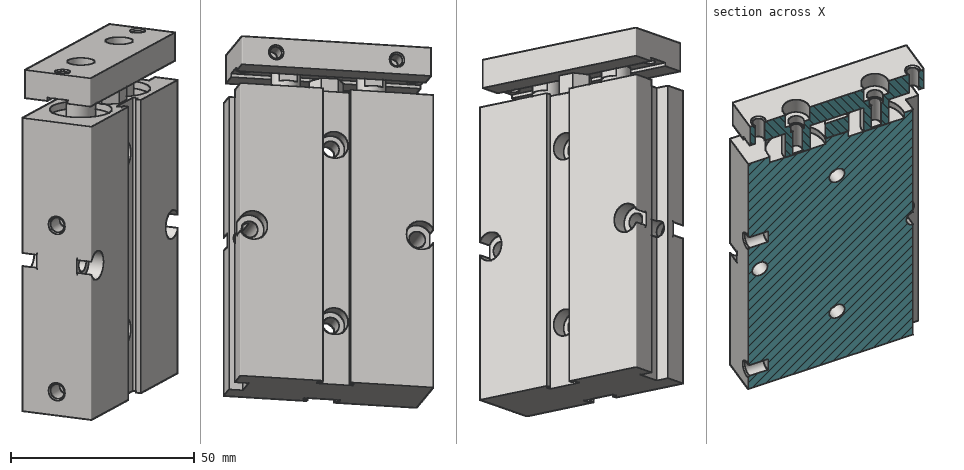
import cadquery as cq

TOTAL_HEIGHT = 96.5
HOUSING_HEIGHT = 83.0
PLATE_THICKNESS = 8.0
PLATE_BOTTOM = TOTAL_HEIGHT - PLATE_THICKNESS

HOUSING_WIDTH = 21.0
HOUSING_DEPTH = 54.0
EDGE_RADIUS = 0.2

SLOT_MOUTH_WIDTH = 7.8
SLOT_NECK_WIDTH = 7.4
SLOT_NECK_DEPTH = 1.4
SLOT_INNER_WIDTH = 10.0
SLOT_DEPTH = 3.0

GROOVE_WIDTH = 7.2
GROOVE_DEPTH = 3.9

MOUNT_HOLE_DIAMETER = 4.5
MOUNT_CENTER_Z = 42.9
SIDE_MOUNT_Y = 23.45
SIDE_COUNTERBORE_DIAMETER = 8.0
SLOT_MOUNT_RISE = 25.0
SLOT_COUNTERBORE_DIAMETER = 7.5
COUNTERBORE_DEPTH = 4.4

PORT_DIAMETER = 4.15
PORT_MOUTH_DIAMETER = 5.0
PORT_DEPTH = 6.0
PORT_HEIGHTS = (6.8, 53.8)

ROD_DIAMETER = 8.0
ROD_Y = 12.0
ROD_RECESS_DIAMETER = 17.0
ROD_RECESS_DEPTH = 2.0
ROD_FLAT_WIDTH = 6.3
ROD_FLAT_DROP = 2.0
ROD_THREAD_DEPTH = 8.0

PLATE_WIDTH = 20.0
PLATE_DEPTH = 53.0
CHANNEL_HEIGHT = 1.0
SCREW_HEAD_DIAMETER = 7.5
SCREW_HEAD_DEPTH = 4.5
SCREW_CLEARANCE_DIAMETER = 4.3
THREAD_DIAMETER = 3.3
THREAD_MOUTH_DIAMETER = 4.15
TOP_THREAD_Y = 23.45
SIDE_THREAD_Y = 16.9
SIDE_THREAD_DEPTH = 6.0

STOP_ACROSS_CORNERS = 9.6
STOP_X = 2.8

SIDES = (-1, 1)


def drill(start, direction, diameter, depth):
    """Cylinder from a start point along a direction."""
    return cq.Workplane(cq.Solid.makeCylinder(diameter / 2, depth, cq.Vector(*start), cq.Vector(*direction)))


def threaded_hole(start, direction, diameter, mouth_diameter, depth):
    """Drilled hole with a 45 degree countersunk mouth."""
    mouth_depth = (mouth_diameter - diameter) / 2
    mouth = cq.Solid.makeCone(
        mouth_diameter / 2, diameter / 2, mouth_depth, cq.Vector(*start), cq.Vector(*direction)
    )
    return drill(start, direction, diameter, depth).union(cq.Workplane(mouth))


def rounded_block(width, depth, bottom, height):
    """Block centred on the Z axis with rounded vertical edges."""
    block = cq.Workplane("XY").workplane(offset=bottom).rect(width, depth).extrude(height)
    return block.edges("|Z").fillet(EDGE_RADIUS)


def t_slot(side):
    """T-shaped channel with a tapered neck over the full height of one wide face."""
    face = side * HOUSING_WIDTH / 2
    shoulder = face - side * SLOT_NECK_DEPTH
    floor = face - side * SLOT_DEPTH
    neck = SLOT_NECK_WIDTH / 2
    mouth = SLOT_MOUTH_WIDTH / 2
    inner = SLOT_INNER_WIDTH / 2
    outline = [
        (face, mouth), (shoulder, neck), (shoulder, inner), (floor, inner),
        (floor, -inner), (shoulder, -inner), (shoulder, -neck), (face, -mouth),
    ]
    return cq.Workplane("XY").polyline(outline).close().extrude(HOUSING_HEIGHT)


def mounting_hole(y, z, counterbore_diameter, inset):
    """Through hole along X, counterbored from both sides, starting at an inset below the faces."""
    face = HOUSING_WIDTH / 2
    hole = drill((-face, y, z), (1, 0, 0), MOUNT_HOLE_DIAMETER, HOUSING_WIDTH)
    for side in SIDES:
        start = (side * (face - inset), y, z)
        counterbore = drill(start, (-side, 0, 0), counterbore_diameter, COUNTERBORE_DEPTH)
        hole = hole.union(counterbore)
    return hole


def make_housing():
    housing = rounded_block(HOUSING_WIDTH, HOUSING_DEPTH, 0, HOUSING_HEIGHT)

    groove = cq.Workplane("XY").box(
        GROOVE_WIDTH, 2 * GROOVE_DEPTH, HOUSING_HEIGHT, centered=(True, True, False)
    )
    housing = housing.cut(groove.translate((0, HOUSING_DEPTH / 2, 0)))

    for side in SIDES:
        housing = housing.cut(t_slot(side))
        side_mount = mounting_hole(
            side * SIDE_MOUNT_Y, MOUNT_CENTER_Z, SIDE_COUNTERBORE_DIAMETER, 0
        )
        slot_mount = mounting_hole(
            0, MOUNT_CENTER_Z + side * SLOT_MOUNT_RISE, SLOT_COUNTERBORE_DIAMETER, SLOT_DEPTH
        )
        housing = housing.cut(side_mount).cut(slot_mount)
        recess_top = (0, side * ROD_Y, HOUSING_HEIGHT)
        housing = housing.cut(drill(recess_top, (0, 0, -1), ROD_RECESS_DIAMETER, ROD_RECESS_DEPTH))

    for height in PORT_HEIGHTS:
        port_start = (0, -HOUSING_DEPTH / 2, height)
        housing = housing.cut(
            threaded_hole(port_start, (0, 1, 0), PORT_DIAMETER, PORT_MOUTH_DIAMETER, PORT_DEPTH)
        )
    return housing


def make_plate():
    """End plate with its underside channel, screw holes and threaded holes."""
    plate = rounded_block(PLATE_WIDTH, PLATE_DEPTH, PLATE_BOTTOM, PLATE_THICKNESS)
    channel = cq.Workplane("XY").box(
        ROD_FLAT_WIDTH, PLATE_DEPTH, CHANNEL_HEIGHT, centered=(True, True, False)
    )
    plate = plate.cut(channel.translate((0, 0, PLATE_BOTTOM)))

    down = (0, 0, -1)
    for side in SIDES:
        screw_start = (0, side * ROD_Y, TOTAL_HEIGHT)
        plate = plate.cut(drill(screw_start, down, SCREW_HEAD_DIAMETER, SCREW_HEAD_DEPTH))
        plate = plate.cut(drill(screw_start, down, SCREW_CLEARANCE_DIAMETER, PLATE_THICKNESS))

        top_start = (0, side * TOP_THREAD_Y, TOTAL_HEIGHT)
        plate = plate.cut(
            threaded_hole(top_start, down, THREAD_DIAMETER, THREAD_MOUTH_DIAMETER, PLATE_THICKNESS)
        )
        side_start = (-PLATE_WIDTH / 2, side * SIDE_THREAD_Y, PLATE_BOTTOM + PLATE_THICKNESS / 2)
        plate = plate.cut(
            threaded_hole(
                side_start, (1, 0, 0), THREAD_DIAMETER, THREAD_MOUTH_DIAMETER, SIDE_THREAD_DEPTH
            )
        )
    return plate


def make_rod(y):
    """Rod standing on its recess floor, with two flats that fit the plate channel."""
    bottom = HOUSING_HEIGHT - ROD_RECESS_DEPTH
    top = PLATE_BOTTOM + CHANNEL_HEIGHT
    flats_bottom = PLATE_BOTTOM - ROD_FLAT_DROP
    rod = drill((0, y, bottom), (0, 0, 1), ROD_DIAMETER, flats_bottom - bottom)
    tongue = drill((0, y, flats_bottom), (0, 0, 1), ROD_DIAMETER, top - flats_bottom)
    flats = cq.Workplane("XY").box(
        ROD_FLAT_WIDTH, ROD_DIAMETER, top - flats_bottom, centered=(True, True, False)
    )
    tongue = tongue.intersect(flats.translate((0, y, flats_bottom)))
    return rod.union(tongue).cut(drill((0, y, top), (0, 0, -1), THREAD_DIAMETER, ROD_THREAD_DEPTH))


def make_stop():
    """Hexagonal stop with two corners on the Y direction."""
    stop = cq.Workplane("XY").polygon(6, STOP_ACROSS_CORNERS).extrude(PLATE_BOTTOM - HOUSING_HEIGHT)
    return stop.rotate((0, 0, 0), (0, 0, 1), 90).translate((STOP_X, 0, HOUSING_HEIGHT))


def make_carriage():
    """Moving body: plate, two rods and the stop in one piece."""
    carriage = make_plate().union(make_stop())
    for side in SIDES:
        carriage = carriage.union(make_rod(side * ROD_Y))
    return carriage


housing = make_housing()
carriage = make_carriage()

result = cq.Compound.makeCompound([housing.val(), carriage.val()])